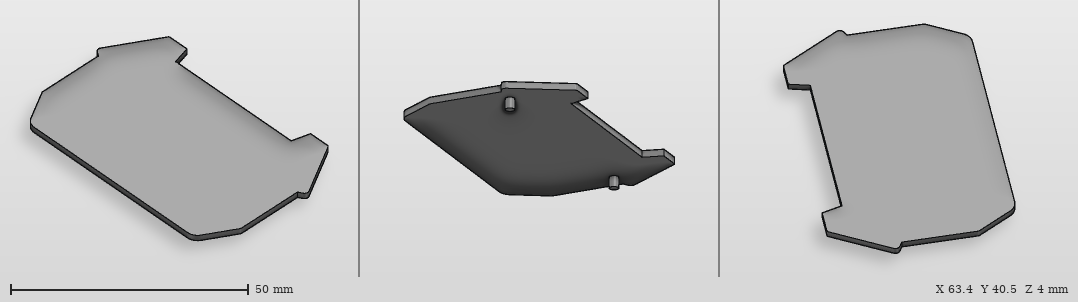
import cadquery as cq
import math

length = 63.4
width = 40.5
height = 4.0

plate_thickness = 1.5
body_half_width = 30.1
notch_depth = 4.5
notch_half_width_bottom = 17.5
notch_half_width_top = 18.7
slope = math.radians(60)
ear_tip_radius = 1.0
ear_tip_drop = 13.4
lower_flank_height = 9.0
front_corner_radius = 3.0
flank_corner_radius = 1.0
ear_top_radius = 0.5

pin_diameter = 2.0
pin_spacing = 51.3
pin_drop = 14.9

back_y = width / 2
front_y = -width / 2

tip_center_x = length / 2 - ear_tip_radius
tip_center_y = back_y - ear_tip_drop
tip_x = tip_center_x + ear_tip_radius * (math.sin(slope) + math.cos(slope))
tip_y = tip_center_y + ear_tip_radius * (math.cos(slope) - math.sin(slope))
ear_top_x = tip_x - (back_y - tip_y) / math.tan(slope)
neck_y = tip_y - (tip_x - body_half_width) / math.tan(slope)

flank_y = front_y + lower_flank_height
front_corner_x = body_half_width - lower_flank_height / math.tan(slope)


def make_plate():
    right_half = [
        (notch_half_width_bottom, back_y - notch_depth),
        (notch_half_width_top, back_y),
        (ear_top_x, back_y),
        (tip_x, tip_y),
        (body_half_width, neck_y),
        (body_half_width, flank_y),
        (front_corner_x, front_y),
    ]
    left_half = [(-x, y) for x, y in reversed(right_half)]
    plate = cq.Workplane("XY").polyline(right_half + left_half).close().extrude(plate_thickness)

    rounded_corners = [
        (ear_top_x, back_y, ear_top_radius),
        (tip_x, tip_y, ear_tip_radius),
        (body_half_width, flank_y, flank_corner_radius),
        (front_corner_x, front_y, front_corner_radius),
    ]
    for x, y, radius in rounded_corners:
        for side in (-1, 1):
            corner = cq.selectors.NearestToPointSelector((side * x, y, plate_thickness / 2))
            plate = plate.edges("|Z").edges(corner).fillet(radius)
    return plate


def make_pins():
    pin_y = back_y - pin_drop
    return (
        cq.Workplane("XY")
        .pushPoints([(-pin_spacing / 2, pin_y), (pin_spacing / 2, pin_y)])
        .circle(pin_diameter / 2)
        .extrude(plate_thickness - height)
    )


result = make_plate().union(make_pins())